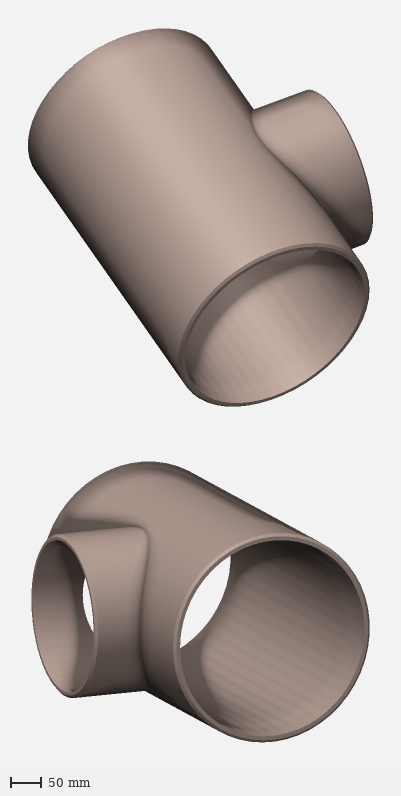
import cadquery as cq

run_length = 559.0
run_diameter = 355.5
run_wall = 11.0

branch_diameter = 273.0
branch_wall = 9.5
branch_reach = 257.0

bevel_length = 4.0
run_land = 6.5
branch_land = 5.0


def bevelled_end_cylinder(plane, start, length, diameter, bevel_depth, bevelled_ends):
    """Solid cylinder with the outer edges of the chosen ends bevelled."""
    body = cq.Workplane(plane).workplane(offset=start).circle(diameter / 2).extrude(length)
    return body.faces(bevelled_ends).edges().chamfer(bevel_length, bevel_depth)


def bore(plane, start, length, diameter):
    return cq.Workplane(plane).workplane(offset=start).circle(diameter / 2).extrude(length)


run_outer = bevelled_end_cylinder(
    "YZ", -run_length / 2, run_length, run_diameter, run_wall - run_land, "<X or >X"
)
branch_outer = bevelled_end_cylinder(
    "ZX", 0, branch_reach, branch_diameter, branch_wall - branch_land, ">Y"
)
run_bore = bore("YZ", -run_length / 2, run_length, run_diameter - 2 * run_wall)
branch_bore = bore("ZX", 0, branch_reach, branch_diameter - 2 * branch_wall)

result = run_outer.union(branch_outer).cut(run_bore).cut(branch_bore)